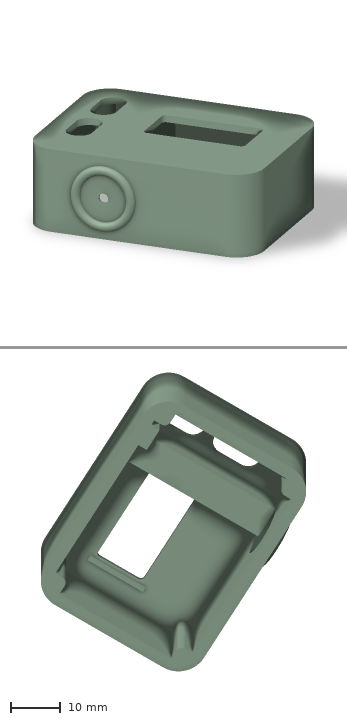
import cadquery as cq

length = 49.84
depth = 37.44
height = 17.75
corner_radius = 6.0
wall = 2.5
roof = 1.5

post_length = 3.3
post_width = 3.0
post_radius = 1.35

ring_x = -7.6
ring_z = 8.75
ring_radius = 6.0
bead_radius = 1.0
port_diameter = 2.1
port_skin = 0.6
recess_diameter = 2 * (ring_radius - bead_radius)

window_length = 22.0
window_width = 10.95
window_corner_radius = 0.9
window_x = 5.4
window_y = 2.8

rib_gap = 0.5
rib_width = 1.0
rib_drop = 0.9
rib_overhang = 1.0

slot_length = 10.6
slot_width = 5.5
slot_x = -17.7
slot_y = 2.25
slot_pitch = 13.0

partition_left = -12.95
partition_right = -6.2
partition_bottom = 9.1
pad_left = -17.85
pad_thickness = 2.0

inner_x = length / 2 - wall
inner_y = depth / 2 - wall
ceiling = height - roof
front = -depth / 2


def block(x_range, y_range, z_range):
    """Axis-aligned box between the given limits."""
    sizes = [high - low for low, high in (x_range, y_range, z_range)]
    corner = (x_range[0], y_range[0], z_range[0])
    return cq.Workplane("XY").box(*sizes, centered=False).translate(corner)


def make_shell():
    outer = cq.Workplane("XY").box(length, depth, height, centered=(True, True, False))
    outer = outer.edges("|Z").fillet(corner_radius)
    cavity = block((-inner_x, inner_x), (-inner_y, inner_y), (0, ceiling))
    return outer.cut(cavity)


def add_posts(body):
    post = block((inner_x - post_length, inner_x), (inner_y - post_width, inner_y), (0, ceiling))
    post = post.edges("|Z and <X and <Y").fillet(post_radius)
    posts = post.union(post.mirror("YZ"))
    posts = posts.union(posts.mirror("XZ"))
    return body.union(posts)


def add_partition(body):
    partition = block(
        (partition_left, partition_right), (-inner_y, inner_y), (partition_bottom, ceiling)
    )
    pad = block((pad_left, partition_left), (inner_y - pad_thickness, inner_y), (0, ceiling))
    return body.union(partition).union(pad)


def add_window_rib(body):
    rib_left = window_x + window_length / 2 + rib_gap
    half_run = window_width / 2 + rib_overhang
    rib = block(
        (rib_left, rib_left + rib_width),
        (window_y - half_run, window_y + half_run),
        (ceiling - rib_drop, ceiling),
    )
    return body.union(rib)


def add_ring(body):
    center = cq.Vector(ring_x, front, ring_z)
    torus = cq.Solid.makeTorus(ring_radius, bead_radius, center, cq.Vector(0, 1, 0))
    outside = block((-length / 2, length / 2), (front - bead_radius, front + port_skin / 2), (0, height))
    return body.union(cq.Workplane(torus).intersect(outside))


def cut_port(body):
    """Small hole through a thin skin, with a wider recess behind it."""
    inner_face = cq.Workplane("XZ", origin=(ring_x, -inner_y, ring_z))
    recess = inner_face.circle(recess_diameter / 2).extrude(wall - port_skin)
    port = inner_face.circle(port_diameter / 2).extrude(wall)
    return body.cut(recess).cut(port)


def cut_roof_openings(body):
    roof_plane = cq.Workplane("XY", origin=(0, 0, ceiling))
    window = roof_plane.center(window_x, window_y).rect(window_length, window_width).extrude(roof)
    window = window.edges("|Z").fillet(window_corner_radius)
    slots = (
        roof_plane.center(slot_x, slot_y)
        .rarray(1, slot_pitch, 1, 2)
        .slot2D(slot_length, slot_width, 90)
        .extrude(roof)
    )
    return body.cut(window).cut(slots)


result = make_shell()
result = add_posts(result)
result = add_partition(result)
result = add_window_rib(result)
result = add_ring(result)
result = cut_port(result)
result = cut_roof_openings(result)